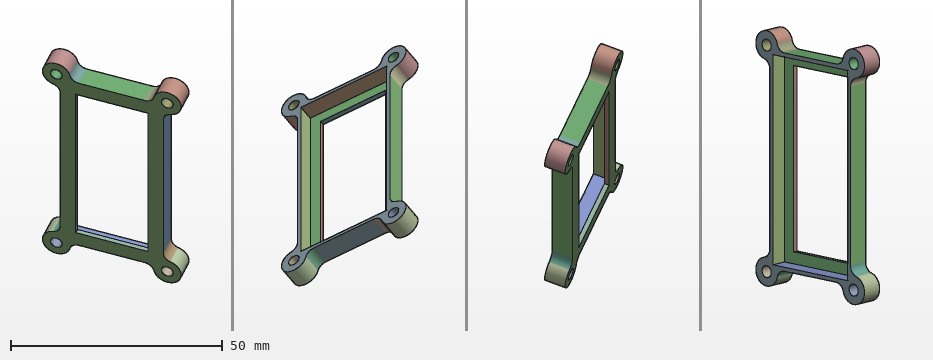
import cadquery as cq
import math

width = 35.0
depth = 5.3
height = 62.0

body_width = 26.05
body_height = 53.0
rim = 3.9

outer_wall = 1.0
lip_depth = 1.2

ear_diameter = 7.0
hole_diameter = 2.9
blend_radius = 2.35

ear_radius = ear_diameter / 2
ear_x = width / 2 - ear_radius
ear_z = height / 2 - ear_radius
ear_centers = [(sx * ear_x, sz * ear_z) for sx in (-1, 1) for sz in (-1, 1)]

front_y = -depth / 2


def front_plane(y):
    """Sketch plane facing +Y at the given y; local coordinates are (X, -Z)."""
    return cq.Workplane(cq.Plane(origin=(0, y, 0), xDir=(1, 0, 0), normal=(0, 1, 0)))


def blend_corners(solid):
    """Round the concave edges where each ear meets the frame sides."""
    body_x = body_width / 2
    body_z = body_height / 2
    reach_x = math.sqrt(ear_radius**2 - (ear_z - body_z) ** 2)
    reach_z = math.sqrt(ear_radius**2 - (ear_x - body_x) ** 2)
    for sx in (-1, 1):
        for sz in (-1, 1):
            for x, z in ((ear_x - reach_x, body_z), (body_x, ear_z - reach_z)):
                edge = cq.selectors.NearestToPointSelector((sx * x, 0, sz * z))
                solid = solid.edges("|Y").edges(edge).fillet(blend_radius)
    return solid


frame = front_plane(front_y).rect(body_width, body_height).extrude(depth)
ears = front_plane(front_y).pushPoints(ear_centers).circle(ear_radius).extrude(depth)
outline = blend_corners(frame.union(ears))

window = front_plane(front_y).rect(body_width - 2 * rim, body_height - 2 * rim).extrude(depth)
recess = (
    front_plane(front_y + lip_depth)
    .rect(body_width - 2 * outer_wall, body_height - 2 * outer_wall)
    .extrude(depth - lip_depth)
)
holes = front_plane(front_y).pushPoints(ear_centers).circle(hole_diameter / 2).extrude(depth)

result = outline.cut(window).cut(recess).cut(holes)